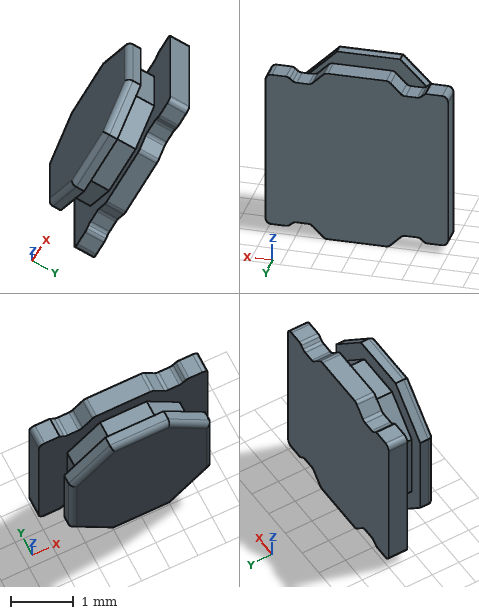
import cadquery as cq
import math

height = 3.0
depth = 1.0
width = 3.0
edge_radius = 0.1

flange_width = 2.502
flange_depth = 0.25
flange_chamfer = 0.732

neck_width = 1.998
neck_height = 2.4
neck_chamfer = 0.585

plate_depth = 0.35
shoulder_half_height = 1.353
notch_half_height = 1.265
shoulder_end_x = 1.13
shoulder_slope = 40.0
center_half_width = 0.522

neck_depth = depth - plate_depth - flange_depth
front_y = -depth / 2
neck_y = front_y + flange_depth
plate_y = neck_y + neck_depth


def block(size_x, size_z, start_y, size_y):
    """Box centered in X and Z, reaching back in Y from start_y."""
    return cq.Workplane("XY").box(size_x, size_y, size_z).translate((0, start_y + size_y / 2, 0))


def make_flange():
    octagon = block(flange_width, height, front_y, flange_depth).edges("|Y").chamfer(flange_chamfer)
    return octagon.faces("<Y").edges().fillet(edge_radius)


def make_neck():
    return block(neck_width, neck_height, neck_y, neck_depth).edges("|Y").chamfer(neck_chamfer)


def make_plate():
    shoulder_run = (shoulder_half_height - notch_half_height) / math.tan(math.radians(shoulder_slope))
    center_run = height / 2 - notch_half_height
    quarter = [
        (width / 2, shoulder_half_height),
        (shoulder_end_x, shoulder_half_height),
        (shoulder_end_x - shoulder_run, notch_half_height),
        (center_half_width + center_run, notch_half_height),
        (center_half_width, height / 2),
    ]
    top = quarter + [(-x, z) for x, z in reversed(quarter)]
    bottom = [(-x, -z) for x, z in top]
    plate = cq.Workplane("XZ", origin=(0, plate_y, 0)).polyline(top + bottom).close().extrude(-plate_depth)
    sharp_corner = (-shoulder_end_x, plate_y + plate_depth / 2, shoulder_half_height)
    rounded_corners = cq.ParallelDirSelector(cq.Vector(0, 1, 0)) - cq.NearestToPointSelector(sharp_corner)
    return plate.edges(rounded_corners).fillet(edge_radius)


result = make_flange().union(make_neck()).union(make_plate())